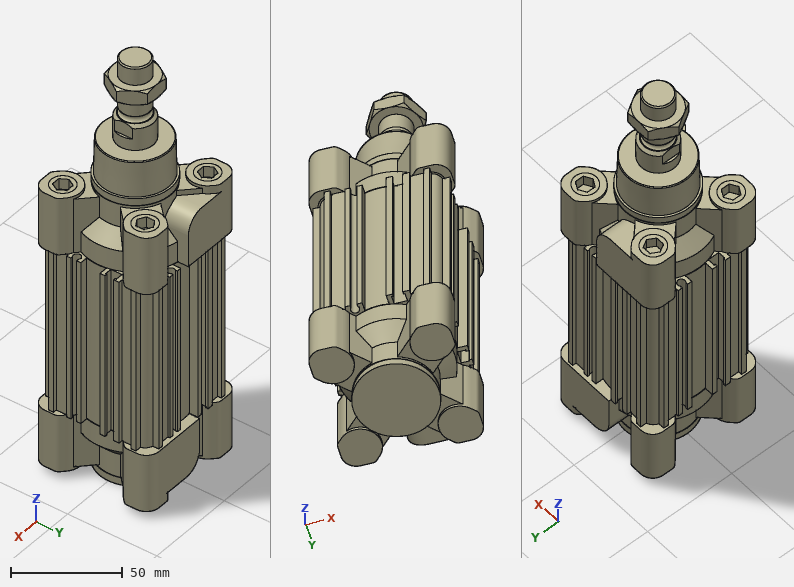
import cadquery as cq
import math


quarter_turn = 90
hexagon_sides = 6

total_height = 229.0
boss_height = 4.1
cap_height = 32.0
barrel_length = 91.5
rear_cap_bottom = boss_height
barrel_bottom = rear_cap_bottom + cap_height
barrel_top = barrel_bottom + barrel_length
front_cap_top = barrel_top + cap_height

cap_half = 33.0
corner_offset = 23.1
lug_radius = cap_half - corner_offset
lug_corner_radius = 7.0
lug_shoulder_radius = 3.2
boss_radius = 20.0
neck_radius = 19.7
skirt_radius = 27.3
skirt_height = 11.5
skirt_cone_height = skirt_radius - neck_radius
web_half_width = 9.2
web_drop = 1.5
port_block_edge = 4.1
port_block_inner = 13.7
port_block_drop = 4.5
port_block_round = 9.8

collar_bottom = front_cap_top + boss_height
collar_height = 19.7
collar_top = collar_bottom + collar_height
collar_base_radius = 18.8
collar_top_radius = 18.3
collar_chamfer = 0.5

barrel_half = 31.8
corner_notch = 24.5
corner_tube_radius = 5.5
channel_floor = 29.8
channel_inner = 15.0
channel_outer = 21.8
valley_radius = 27.5
valley_left = -7.0
valley_right = 4.4
t_slot_floor = 26.5
t_slot_ceiling = 30.5
t_slot_center = 9.6
t_slot_width = 6.2
t_slot_mouth = 4.8
round_slot_center = (valley_left - channel_inner) / 2
round_slot_mouth = 3.2
round_slot_radius = 2.0
round_slot_depth_center = 28.5
round_slot_rib_top = 31.0

rod_radius = 10.0
rod_shoulder = 197.6
rod_shoulder_chamfer = 1.5
rod_flat_half = 8.7
rod_flat_bottom = 190.0
thread_radius = 8.0
thread_chamfer = 0.7
groove_top = 201.3
groove_radius = 6.9

nut_across_flats = 24.3
nut_thickness = 8.0
nut_bottom = 211.1
nut_chamfer_angle = 30

screw_radius = 6.5
socket_across_flats = 8.0
socket_depth = 6.0


def box(x_range, y_range, z_range):
    """Box between pairs of X, Y and Z limits."""
    size = [high - low for low, high in (x_range, y_range, z_range)]
    corner = (x_range[0], y_range[0], z_range[0])
    return cq.Workplane("XY").box(*size, centered=False).translate(corner)


def cylinder(radius, bottom, top, center=(0, 0)):
    return cq.Workplane("XY", origin=(*center, bottom)).circle(radius).extrude(top - bottom)


def hexagon_prism(across_flats, bottom, top):
    """Hexagonal prism on the axis with corners pointing along X."""
    across_corners = across_flats / math.cos(math.pi / hexagon_sides)
    base = cq.Workplane("XY", origin=(0, 0, bottom))
    return base.polygon(hexagon_sides, across_corners).extrude(top - bottom)


def revolved(outline):
    """Solid of revolution about Z from (radius, height) points."""
    return cq.Workplane("XZ").polyline(outline).close().revolve(360, (0, 0, 0), (0, 1, 0))


def about_axis(shape, angle):
    return shape.rotate((0, 0, 0), (0, 0, 1), angle)


def make_lug():
    """Corner lug at +X +Y: a round inner side, 45-degree shoulders and flat outer sides."""
    diagonal = lug_radius / math.sqrt(2)
    near = corner_offset - diagonal
    far = corner_offset + diagonal
    shoulder = near + cap_half - far
    round_start = cap_half - lug_corner_radius
    round_middle = round_start + lug_corner_radius / math.sqrt(2)
    lug = (
        cq.Workplane("XY")
        .moveTo(near, far)
        .threePointArc((near, near), (far, near))
        .lineTo(cap_half, shoulder)
        .lineTo(cap_half, round_start)
        .threePointArc((round_middle, round_middle), (round_start, cap_half))
        .lineTo(shoulder, cap_half)
        .close()
        .extrude(cap_height)
    )
    for x, y in ((shoulder, cap_half), (cap_half, shoulder)):
        edge_position = cq.selectors.NearestToPointSelector((x, y, cap_height / 2))
        lug = lug.edges("|Z").edges(edge_position).fillet(lug_shoulder_radius)
    return lug


def make_web():
    """Diagonal web that joins the hub to the lug at +X +Y."""
    reach = corner_offset * math.sqrt(2)
    web = box((0, reach), (-web_half_width, web_half_width), (0, cap_height - web_drop))
    return about_axis(web, quarter_turn / 2)


def make_port_block():
    """Block on the +Y side, from the -X lug to just past the axis, with a rounded top edge."""
    top = cap_height - port_block_drop
    block = box((-corner_offset, port_block_edge), (port_block_inner, cap_half), (0, top))
    return block.edges(">X and >Z").fillet(port_block_round)


def make_end_cap():
    cap = revolved([
        (0, 0),
        (skirt_radius, 0),
        (skirt_radius, skirt_height),
        (neck_radius, skirt_height + skirt_cone_height),
        (neck_radius, cap_height),
        (boss_radius, cap_height),
        (boss_radius, cap_height + boss_height),
        (0, cap_height + boss_height),
    ])
    lug_and_web = make_lug().union(make_web())
    for quarter in range(4):
        cap = cap.union(about_axis(lug_and_web, quarter_turn * quarter))
    return cap.union(make_port_block())


def screw_centers():
    return [(x, y) for x in (-corner_offset, corner_offset) for y in (-corner_offset, corner_offset)]


def make_front_cap():
    """End cap with the rod collar, the rod bore and the four screw holes."""
    collar = revolved([
        (0, collar_bottom),
        (collar_base_radius, collar_bottom),
        (collar_top_radius, collar_top - collar_chamfer),
        (collar_top_radius - collar_chamfer, collar_top),
        (0, collar_top),
    ])
    cap = make_end_cap().translate((0, 0, barrel_top)).union(collar)
    cap = cap.cut(cylinder(rod_radius, barrel_top, collar_top))
    for center in screw_centers():
        cap = cap.cut(cylinder(screw_radius, barrel_top, front_cap_top, center))
    return cap


def make_rear_cap():
    """End cap turned half a turn about Y, so that its boss points down."""
    return make_end_cap().rotate((0, 0, 0), (0, 1, 0), 180).translate((0, 0, barrel_bottom))


def face_cutter(x_range, floor, ceiling=barrel_half):
    return box(x_range, (-ceiling, -floor), (barrel_bottom, barrel_top))


def centered_range(center, width):
    return (center - width / 2, center + width / 2)


def make_center_valley():
    """Space between the two slots, with a floor that bulges around the axis."""
    valley = face_cutter((valley_left, valley_right), valley_radius / 2)
    return valley.cut(cylinder(valley_radius, barrel_bottom, barrel_top))


def make_t_slot():
    groove = face_cutter(centered_range(t_slot_center, t_slot_width), t_slot_floor, t_slot_ceiling)
    mouth = face_cutter(centered_range(t_slot_center, t_slot_mouth), t_slot_floor)
    return groove.union(mouth)


def make_round_slot():
    """Slot with a round bottom between two ribs that are lower than the barrel face."""
    mouth = face_cutter(centered_range(round_slot_center, round_slot_mouth), round_slot_depth_center)
    bottom = cylinder(
        round_slot_radius, barrel_bottom, barrel_top, (round_slot_center, -round_slot_depth_center)
    )
    lowering = face_cutter((-channel_inner, valley_left), round_slot_rib_top)
    return mouth.union(bottom).union(lowering)


def make_corner_notch():
    """Notch at the -X -Y corner that leaves a round tube in line with the lug."""
    notch = face_cutter((-barrel_half, -corner_notch), corner_notch)
    tube = cylinder(corner_tube_radius, barrel_bottom, barrel_top, (-corner_offset, -corner_offset))
    return notch.cut(tube)


def make_barrel():
    side = (-barrel_half, barrel_half)
    barrel = box(side, side, (barrel_bottom, barrel_top))
    cutters = [
        make_corner_notch(),
        face_cutter((-channel_outer, -channel_inner), channel_floor),
        make_round_slot(),
        make_center_valley(),
        make_t_slot(),
        face_cutter((channel_inner, channel_outer), channel_floor),
    ]
    for quarter in range(4):
        for cutter in cutters:
            barrel = barrel.cut(about_axis(cutter, quarter_turn * quarter))
    return barrel


def make_rod():
    groove_middle = (rod_shoulder + groove_top) / 2
    rod = (
        cq.Workplane("XZ")
        .moveTo(0, barrel_top)
        .lineTo(rod_radius, barrel_top)
        .lineTo(rod_radius, rod_shoulder - rod_shoulder_chamfer)
        .lineTo(rod_radius - rod_shoulder_chamfer, rod_shoulder)
        .lineTo(thread_radius, rod_shoulder)
        .threePointArc((groove_radius, groove_middle), (thread_radius, groove_top))
        .lineTo(thread_radius, total_height - thread_chamfer)
        .lineTo(thread_radius - thread_chamfer, total_height)
        .lineTo(0, total_height)
        .close()
        .revolve(360, (0, 0, 0), (0, 1, 0))
    )
    depth = (-rod_radius, rod_radius)
    height = (rod_flat_bottom, rod_shoulder)
    for x_range in ((-rod_radius, -rod_flat_half), (rod_flat_half, rod_radius)):
        rod = rod.cut(box(x_range, depth, height))
    return rod


def make_nut():
    """Hexagon nut with both ends chamfered to the width across its flats."""
    top = nut_bottom + nut_thickness
    face_radius = nut_across_flats / 2
    corner_radius = face_radius / math.cos(math.pi / hexagon_sides)
    chamfer_height = (corner_radius - face_radius) * math.tan(math.radians(nut_chamfer_angle))
    envelope = revolved([
        (0, nut_bottom),
        (face_radius, nut_bottom),
        (corner_radius, nut_bottom + chamfer_height),
        (corner_radius, top - chamfer_height),
        (face_radius, top),
        (0, top),
    ])
    nut = hexagon_prism(nut_across_flats, nut_bottom, top).intersect(envelope)
    return nut.cut(cylinder(thread_radius, nut_bottom, top))


def make_screw(center):
    """Cylindrical screw flush with the lug; sockets on one diagonal are turned by 90 degrees."""
    x, y = center
    socket = hexagon_prism(socket_across_flats, front_cap_top - socket_depth, front_cap_top)
    if x * y > 0:
        socket = about_axis(socket, quarter_turn)
    return cylinder(screw_radius, barrel_top, front_cap_top, center).cut(socket.translate((x, y, 0)))


front_cap = make_front_cap()
rear_cap = make_rear_cap()
barrel = make_barrel()
rod = make_rod()
nut = make_nut()
screws = [make_screw(center) for center in screw_centers()]

result = cq.Compound.makeCompound([
    front_cap.val(),
    rear_cap.val(),
    barrel.val(),
    rod.val(),
    nut.val(),
    *[screw.val() for screw in screws],
])